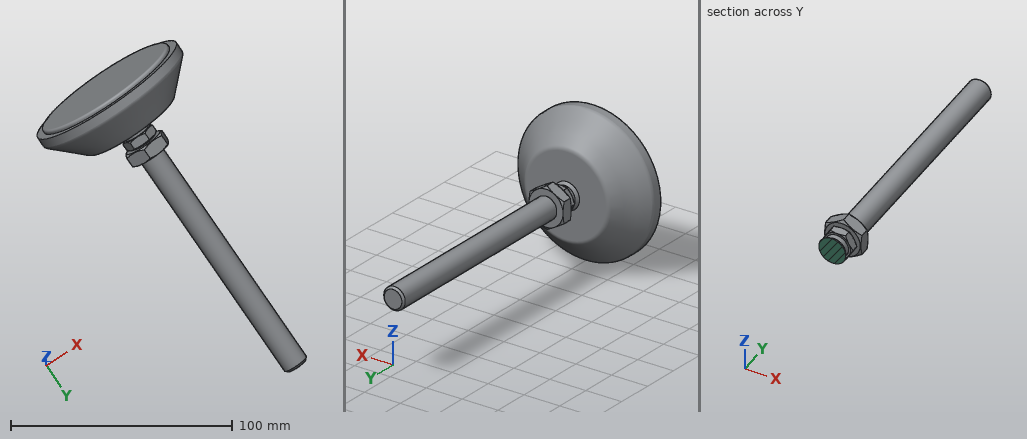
import cadquery as cq
import math

TOTAL_LENGTH = 155.9

PAD_RADIUS = 34.3
PAD_HEIGHT = 1.9
PAD_FILLET = 1.2

FOOT_RADIUS = 38.0
FOOT_TOP_RADIUS = 23.2
FOOT_TOP_Y = 22.0
RIM_TOP_Y = 7.2
RIM_FILLET = 2.0
FOOT_TOP_FILLET = 3.0
EDGE_SEARCH_MARGIN = 0.2

STEM_RADIUS = 6.0
STEM_TIP_CHAMFER = 1.1
FLARE_RADIUS = 7.2
FLARE_HEIGHT = 1.7
STEM_HEX_FLATS = 14.0
STEM_HEX_START_Y = 26.3
STEM_HEX_HEIGHT = 4.5

NUT_FLATS = 19.0
NUT_START_Y = 31.3
NUT_HEIGHT = 6.5
NUT_LOWER_END_RADIUS = 9.2

HEX_CHAMFER_ANGLE = 30.0


def revolve_about_y(profile):
    """Turn a closed XY profile a full turn about the Y axis."""
    return profile.revolve(360, (0, 0, 0), (0, 1, 0))


def disc(radius, start_y, height):
    """Make a cylinder along Y, rising from start_y."""
    plane = cq.Workplane("XZ", origin=(0, start_y, 0))
    return plane.circle(radius).extrude(-height)


def chamfered_hex(flats, start_y, height, turn, lower_end_radius):
    """Make a hexagonal prism along Y with its corners turned down at both ends.

    The upper end circle touches the flats; the lower one has the given radius.
    """
    corner_radius = flats / 2 / math.cos(math.radians(30))
    upper_end_radius = flats / 2
    chamfer_slope = math.tan(math.radians(HEX_CHAMFER_ANGLE))
    lower_drop = (corner_radius - lower_end_radius) * chamfer_slope
    upper_drop = (corner_radius - upper_end_radius) * chamfer_slope
    prism = (
        cq.Workplane("XZ", origin=(0, start_y, 0))
        .polygon(6, 2 * corner_radius)
        .extrude(-height)
        .rotate((0, 0, 0), (0, 1, 0), turn)
    )
    end_y = start_y + height
    envelope = revolve_about_y(
        cq.Workplane("XY").polyline([
            (0, start_y),
            (lower_end_radius, start_y),
            (corner_radius, start_y + lower_drop),
            (corner_radius, end_y - upper_drop),
            (upper_end_radius, end_y),
            (0, end_y),
        ]).close()
    )
    return prism.intersect(envelope)


def make_pad():
    """Make the flat pad with a rounded floor edge."""
    return disc(PAD_RADIUS, 0, PAD_HEIGHT).faces("<Y").edges().fillet(PAD_FILLET)


def make_foot():
    """Make the cone with a straight rim, resting on the pad."""
    foot = revolve_about_y(
        cq.Workplane("XY").polyline([
            (0, PAD_HEIGHT),
            (FOOT_RADIUS, PAD_HEIGHT),
            (FOOT_RADIUS, RIM_TOP_Y),
            (FOOT_TOP_RADIUS, FOOT_TOP_Y),
            (0, FOOT_TOP_Y),
        ]).close()
    )
    foot = foot.faces(">Y").edges().fillet(FOOT_TOP_FILLET)
    rim_edge = cq.selectors.BoxSelector(
        (-FOOT_RADIUS, RIM_TOP_Y - EDGE_SEARCH_MARGIN, -FOOT_RADIUS),
        (FOOT_RADIUS, RIM_TOP_Y + EDGE_SEARCH_MARGIN, FOOT_RADIUS),
    )
    return foot.edges(rim_edge).fillet(RIM_FILLET)


def make_stem():
    """Make the rod with its flared base, wrench hexagon and chamfered tip."""
    rod = revolve_about_y(
        cq.Workplane("XY").polyline([
            (0, FOOT_TOP_Y),
            (FLARE_RADIUS, FOOT_TOP_Y),
            (STEM_RADIUS, FOOT_TOP_Y + FLARE_HEIGHT),
            (STEM_RADIUS, TOTAL_LENGTH - STEM_TIP_CHAMFER),
            (STEM_RADIUS - STEM_TIP_CHAMFER, TOTAL_LENGTH),
            (0, TOTAL_LENGTH),
        ]).close()
    )
    wrench_hex = chamfered_hex(
        STEM_HEX_FLATS, STEM_HEX_START_Y, STEM_HEX_HEIGHT,
        turn=0, lower_end_radius=STEM_HEX_FLATS / 2,
    )
    return rod.union(wrench_hex)


def make_nut():
    """Make the lock nut, its bore fitting the stem and its corners on the Z axis."""
    blank = chamfered_hex(
        NUT_FLATS, NUT_START_Y, NUT_HEIGHT,
        turn=30, lower_end_radius=NUT_LOWER_END_RADIUS,
    )
    return blank.cut(disc(STEM_RADIUS, NUT_START_Y, NUT_HEIGHT))


pad = make_pad()
foot = make_foot()
stem = make_stem()
nut = make_nut()

result = cq.Compound.makeCompound([pad.val(), foot.val(), stem.val(), nut.val()])